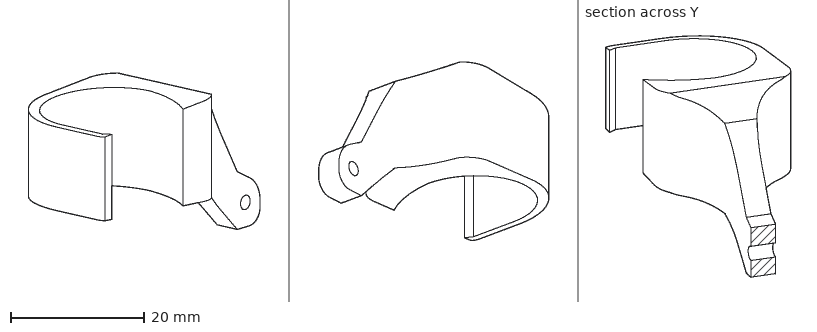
import cadquery as cq
import math


bore_radius = 10.0
back_thickness = 2.0
lip_thickness = 1.3
back_x = -(bore_radius + back_thickness)
front_x = 10.0
lip_outer_y = -(bore_radius + lip_thickness)

jaw_tip_y = 6.05
jaw_radius = 20.0

lip_end_x = 9.2
lip_ramp_length = 1.25
lip_ramp_angle = 29.0
lip_corner_radius = 2.0

neck_half_width = 2.0
neck_start_y = 24.0
neck_radius = 10.0
shoulder_radius = 5.0

shoulder_y = 14.0
shoulder_half_height = 8.0
lip_half_height = 6.5

overall_height = 25.05
lug_end_y = 32.93
lug_bottom_z = shoulder_half_height - overall_height
arm_bend_y = 20.55
arm_bend_top_z = 4.6
lug_root_y = 27.7
lug_root_top_z = -8.05
arm_bend_bottom_z = lug_bottom_z + (lug_root_y - arm_bend_y)
lug_slope_angle = 28.0
lug_top_radius = 4.6
lug_bottom_radius = 2.5

pivot_diameter = 2.2
pivot_end_distance = 3.4
pivot_y = lug_end_y - pivot_end_distance
pivot_z = -13.2


def shoulder_points(side, wall_x):
    """Tangent points of the rounded shoulder with the neck curve and with the side wall."""
    neck_x = side * (neck_half_width + neck_radius)
    centre_x = wall_x - side * shoulder_radius
    reach = neck_radius + shoulder_radius
    centre_y = neck_start_y - math.sqrt(reach**2 - (neck_x - centre_x) ** 2)
    share = neck_radius / reach
    joint = (neck_x + share * (centre_x - neck_x), neck_start_y + share * (centre_y - neck_start_y))
    return joint, (wall_x, centre_y)


def make_plan():
    """Outline of the clip, neck and lug in plan, extruded over the full height."""
    left_joint, left_wall = shoulder_points(-1, back_x)
    right_joint, right_wall = shoulder_points(1, front_x)
    ramp_rise = lip_ramp_length * math.tan(math.radians(lip_ramp_angle))
    corner_rise = lip_corner_radius - math.sqrt(lip_corner_radius**2 - lip_ramp_length**2)
    ramp_start_x = lip_end_x - lip_ramp_length
    clip = (
        cq.Workplane("XY")
        .workplane(offset=lug_bottom_z)
        .moveTo(-neck_half_width, lug_end_y)
        .lineTo(-neck_half_width, neck_start_y)
        .radiusArc(left_joint, neck_radius)
        .radiusArc(left_wall, -shoulder_radius)
        .lineTo(back_x, 0)
        .ellipseArc(-back_x, -lip_outer_y, 180, 270, startAtCurrent=True)
        .lineTo(ramp_start_x, lip_outer_y)
        .radiusArc((lip_end_x, lip_outer_y + corner_rise), -lip_corner_radius)
        .lineTo(lip_end_x, -bore_radius + ramp_rise)
        .lineTo(ramp_start_x, -bore_radius)
        .lineTo(0, -bore_radius)
        .threePointArc((-bore_radius, 0), (0, bore_radius))
        .radiusArc((front_x, jaw_tip_y), jaw_radius)
        .lineTo(*right_wall)
        .radiusArc(right_joint, -shoulder_radius)
        .radiusArc((neck_half_width, neck_start_y), neck_radius)
        .lineTo(neck_half_width, lug_end_y)
        .close()
    )
    return clip.extrude(overall_height)


def make_side():
    """Side profile of the tapered band, bent arm and rounded lug, extruded across the width."""
    lug_top_z = lug_root_top_z - (lug_end_y - lug_root_y) * math.tan(math.radians(lug_slope_angle))
    profile = (
        cq.Workplane("YZ")
        .workplane(offset=back_x)
        .moveTo(lip_outer_y, lip_half_height)
        .lineTo(shoulder_y, shoulder_half_height)
        .lineTo(arm_bend_y, arm_bend_top_z)
        .lineTo(lug_root_y, lug_root_top_z)
        .lineTo(lug_end_y, lug_top_z)
        .lineTo(lug_end_y, lug_bottom_z)
        .lineTo(lug_root_y, lug_bottom_z)
        .lineTo(arm_bend_y, arm_bend_bottom_z)
        .lineTo(shoulder_y, -shoulder_half_height)
        .lineTo(lip_outer_y, -lip_half_height)
        .close()
        .extrude(front_x - back_x)
    )
    rounded_top = profile.faces(">Y").edges(">Z").fillet(lug_top_radius)
    return rounded_top.faces(">Y").edges("<Z").fillet(lug_bottom_radius)


def make_pivot():
    """Pin that cuts the pivot hole across the lug."""
    return (
        cq.Workplane("YZ")
        .center(pivot_y, pivot_z)
        .circle(pivot_diameter / 2)
        .extrude(2 * neck_half_width, both=True)
    )


result = make_plan().intersect(make_side()).cut(make_pivot())